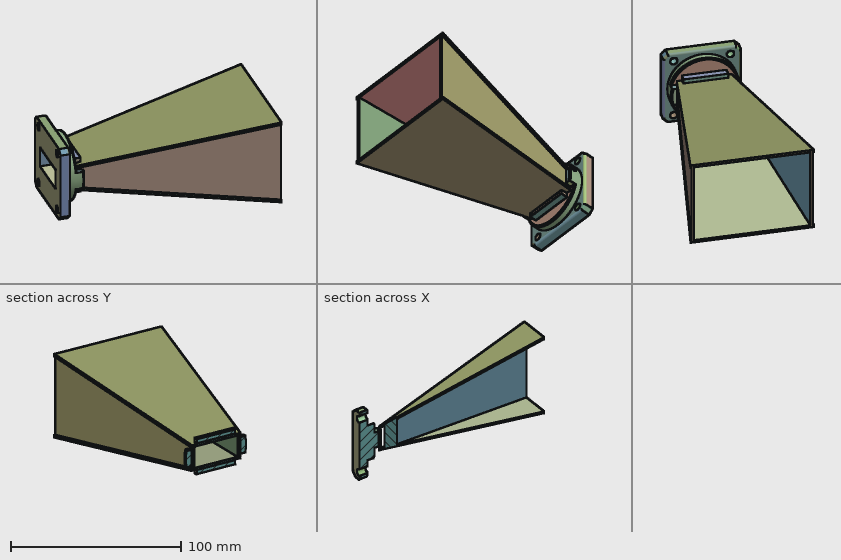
import cadquery as cq

total_length = 132.3
mouth_width = 74.5
mouth_height = 53.7

bore_width = 28.6
bore_height = 12.7
sheet = 1.6
plate_overhang = 0.7

flange_side = 47.2
flange_thickness = 6.2
corner_chamfer = 2.9
back_edge_radius = 1.3
hole_diameter = 4.4
hole_spacing_x = 34.3
hole_spacing_z = 37.5

boss_diameter = 42.2
boss_back = 11.2
collar_back = 15.7
boss_chamfer = 0.8
side_tab_height = 11.0
pad_width = 27.0
pad_span_z = 22.8

horn_length = total_length - boss_back
throat_height = bore_height + 2 * sheet
throat_side_width = bore_width + 2 * sheet
throat_plate_width = throat_side_width + 2 * plate_overhang
mouth_side_width = mouth_width - 2 * plate_overhang
mouth_bore_width = mouth_side_width - 2 * sheet
mouth_bore_height = mouth_height - 2 * sheet


def plane_at(y):
    """XZ sketch plane at the given Y, with its normal toward +Y."""
    return cq.Workplane(cq.Plane(origin=(0, y, 0), xDir=(1, 0, 0), normal=(0, 1, 0)))


def block(width, height, y_start, y_end):
    return plane_at(y_start).rect(width, height).extrude(y_end - y_start)


def taper(throat_size, mouth_size):
    """Rectangular frustum from the horn throat to the mouth."""
    return (
        plane_at(boss_back)
        .rect(*throat_size)
        .workplane(offset=horn_length)
        .rect(*mouth_size)
        .loft(ruled=True)
    )


def horn_envelope():
    """Solid space taken by the horn, including the air inside and its edge steps."""
    return taper((throat_plate_width, throat_height), (mouth_width, mouth_height))


def make_horn():
    side_envelope = taper((throat_side_width, throat_height), (mouth_side_width, mouth_height))
    bore = taper((bore_width, bore_height), (mouth_bore_width, mouth_bore_height))
    plate_gap = taper((mouth_width, bore_height), (2 * mouth_width, mouth_bore_height))
    plates = horn_envelope().cut(plate_gap)
    side_walls = side_envelope.intersect(plate_gap).cut(bore)
    return plates.union(side_walls)


def make_plate():
    plate = block(flange_side, flange_side, 0, flange_thickness)
    plate = plate.edges("|Y").chamfer(corner_chamfer)
    return plate.faces(">Y").edges().fillet(back_edge_radius)


def round_stub(y_end):
    stub = plane_at(0).circle(boss_diameter / 2).extrude(y_end)
    return stub.faces(">Y").edges().chamfer(boss_chamfer)


def make_collar():
    """Side tabs rounded like the boss, plus flat pads above and below the horn."""
    side_tabs = round_stub(collar_back).intersect(
        block(boss_diameter, side_tab_height, flange_thickness, collar_back)
    )
    pads = block(pad_width, pad_span_z, flange_thickness, collar_back)
    return side_tabs.union(pads).cut(horn_envelope())


def make_flange():
    body = make_plate().union(round_stub(boss_back)).union(make_collar())
    holes = (
        plane_at(0)
        .rect(hole_spacing_x, hole_spacing_z, forConstruction=True)
        .vertices()
        .circle(hole_diameter / 2)
        .extrude(flange_thickness)
    )
    bore = block(bore_width, bore_height, 0, boss_back)
    return body.cut(holes).cut(bore)


horn = make_horn()
flange = make_flange()

result = cq.Compound.makeCompound([flange.val(), horn.val()])